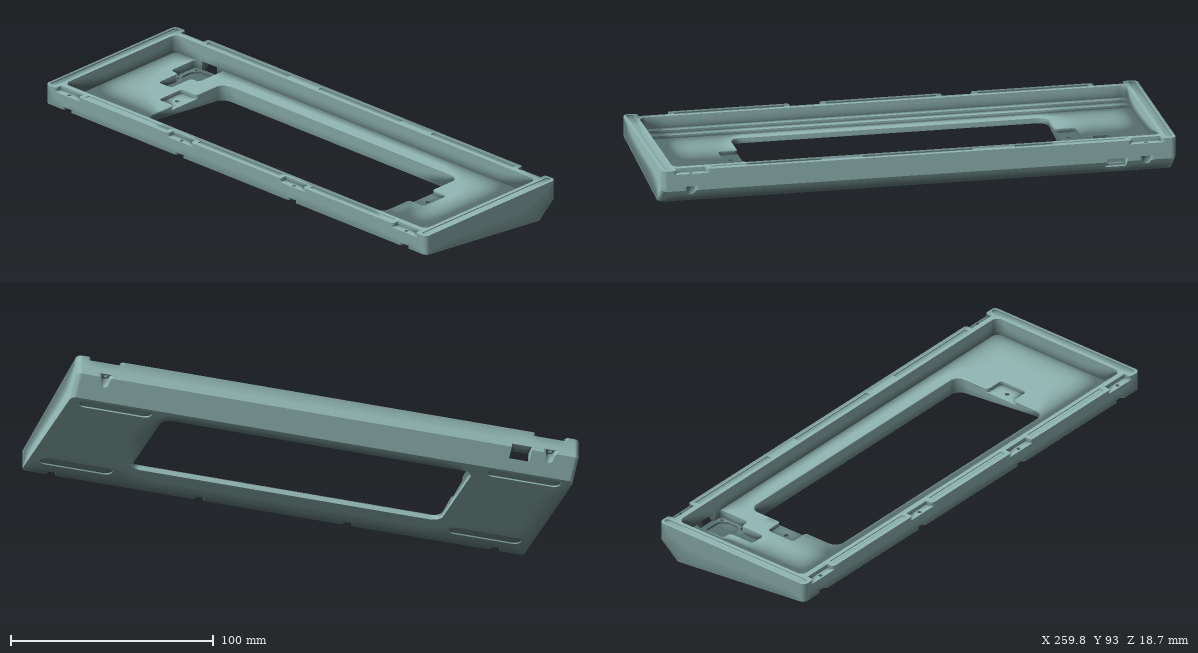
import cadquery as cq
LENGTH = 259.8
WIDTH = 93.0
HEIGHT = 18.7
FRONT_HEIGHT = 10.1
BACK_HEIGHT = 10.7
KEEL_INSET = 9.5
CORNER_RADIUS = 2.5

FRONT_Y = -WIDTH / 2
BACK_Y = WIDTH / 2
KEEL_Y = BACK_Y - KEEL_INSET
UNDERSIDE_SLOPE = (HEIGHT - FRONT_HEIGHT) / (KEEL_Y - FRONT_Y)

WALL = 6.8
CAVITY_RADIUS = 3.5
FLOOR_DEPTH = 9.4
CAVITY_STEPS = [(WALL, 6.2), (10.1, 7.8), (14.0, FLOOR_DEPTH)]
CAVITY_LENGTH = LENGTH - 2 * WALL
CAVITY_BACK_Y = BACK_Y - WALL

WINDOW_LENGTH = 160.5
WINDOW_WIDTH = 55.5
WINDOW_RADIUS = 5.2
WINDOW_CHAMFER = 0.3
WINDOW_BACK_INSET = 17.1
WINDOW_Y = BACK_Y - WINDOW_BACK_INSET - WINDOW_WIDTH / 2
TAB_REACH = 10.1
TAB_WIDTH = 16.4
TAB_DEPTH = 2.0
TAB_RADIUS = 1.8
TAB_HOLE_DIAMETER = 2.52
TAB_HOLE_DEPTH = 2.5
TAB_HOLE_REACH = 5.2
TAB_HOLE_X = WINDOW_LENGTH / 2 + TAB_HOLE_REACH

GROOVE_DEPTH = 0.5
LONG_GROOVE_LENGTH = 55.9
LONG_GROOVE_WIDTH = 2.5
LONG_GROOVE_INSET = 3.5
SIDE_GROOVE_WIDTH = 3.5
SIDE_GROOVE_INSET = 3.0
SIDE_GROOVE_LENGTH = 90.5

SCREW_PITCH = 76.7
SCREW_INSET = 1.8
SCREW_HOLE_DIAMETER = 2.15
NOTCH_LENGTH = 15.3
NOTCH_INSET = 4.0
NOTCH_DEPTH = 2.0
NOTCH_FLARE = 1.5
HEAD_SLOT_WIDTH = 4.2
HEAD_SLOT_TOP = 8.5
HEAD_SLOT_FLARE = 1.5

MODULE_X = -100.0
MODULE_LENGTH = 19.2
MODULE_WIDTH = 17.7
MODULE_DEPTH = 13.5
MODULE_RADIUS = 1.8
DISC_DIAMETER = 16.4
DISC_FLAT_LENGTH = 15.5
DISC_FLAT_WIDTH = 13.5
DISC_X = MODULE_X + 0.5
DISC_DEPTH = 14.5
PEG_HOLE_DIAMETER = 1.6
PEG_HOLE_DEPTH = DISC_DEPTH
PEG_HOLE_SPAN_X = 14.0
PEG_HOLE_SPAN_Y = 12.7
TAIL_LENGTH = 14.3
TAIL_WIDTH = 8.8
PORT_LENGTH = 10.5
PORT_TOP = 8.8
PORT_BOTTOM = 14.5
MODULE_Y = CAVITY_BACK_Y - MODULE_WIDTH / 2

FOOT_LENGTH = 37.5
FOOT_WIDTH = 6.8
FOOT_DEPTH = 0.8
FOOT_X = 105.8
FOOT_INSETS = [13.0, 78.0]


def box_down(length, width, depth, x, y, top=0.0):
    """Box whose upper face lies at Z = top."""
    return cq.Workplane("XY").box(length, width, depth, centered=(True, True, False)).translate(
        (x, y, top - depth)
    )


def rounded_down(length, width, depth, x, y, radius, top=0.0):
    return box_down(length, width, depth, x, y, top).edges("|Z").fillet(radius)


def cylinder_down(diameter, depth, x, y, top=0.0):
    return cq.Workplane("XY").circle(diameter / 2).extrude(-depth).translate((x, y, top))


def flared_mouth(width, reach, flare, edge_y, outward):
    """Outline open at a face, its two mouth corners rounded outwards."""
    half = width / 2
    bend = flare * (1 - 0.5 ** 0.5)
    lip_y = edge_y - outward * flare
    inner_y = edge_y - outward * reach
    mid_y = edge_y - outward * bend
    return (
        cq.Workplane("XY")
        .moveTo(-half - flare, edge_y)
        .threePointArc((-half - bend, mid_y), (-half, lip_y))
        .lineTo(-half, inner_y)
        .lineTo(half, inner_y)
        .lineTo(half, lip_y)
        .threePointArc((half + bend, mid_y), (half + flare, edge_y))
        .close()
    )


def make_body():
    body = (
        cq.Workplane("YZ")
        .moveTo(FRONT_Y, 0)
        .lineTo(BACK_Y, 0)
        .lineTo(BACK_Y, -BACK_HEIGHT)
        .lineTo(KEEL_Y, -HEIGHT)
        .lineTo(FRONT_Y, -FRONT_HEIGHT)
        .close()
        .extrude(LENGTH / 2, both=True)
    )
    upright = cq.selectors.ParallelDirSelector(cq.Vector(0, 0, 1))
    along_back_chamfer = cq.selectors.ParallelDirSelector(cq.Vector(0, KEEL_INSET, HEIGHT - BACK_HEIGHT))
    body = body.edges(cq.selectors.SumSelector(upright, along_back_chamfer))
    return body.fillet(CORNER_RADIUS)


def cut_cavity(body):
    for inset, depth in CAVITY_STEPS:
        width = CAVITY_BACK_Y - FRONT_Y - inset
        centre_y = CAVITY_BACK_Y - width / 2
        body = body.cut(rounded_down(CAVITY_LENGTH, width, depth, 0, centre_y, CAVITY_RADIUS))
    return body


def window_chamfer():
    """Wedge ring that breaks the window's edge at the tray floor."""
    return (
        cq.Workplane("XY")
        .sketch()
        .rect(WINDOW_LENGTH + 2 * WINDOW_CHAMFER, WINDOW_WIDTH + 2 * WINDOW_CHAMFER)
        .vertices()
        .fillet(WINDOW_RADIUS + WINDOW_CHAMFER)
        .finalize()
        .extrude(-WINDOW_CHAMFER, taper=45)
        .translate((0, WINDOW_Y, -FLOOR_DEPTH))
    )


def cut_window(body):
    opening = rounded_down(WINDOW_LENGTH, WINDOW_WIDTH, HEIGHT, 0, WINDOW_Y, WINDOW_RADIUS)
    body = body.cut(opening)
    body = body.cut(window_chamfer())
    tab = (
        flared_mouth(TAB_WIDTH, TAB_REACH, TAB_RADIUS, 0, 1)
        .extrude(-TAB_DEPTH)
        .edges("|Z and <Y")
        .fillet(TAB_RADIUS)
    )
    for side in (-1, 1):
        placed_tab = tab.rotate((0, 0, 0), (0, 0, 1), side * 90).translate(
            (side * WINDOW_LENGTH / 2, WINDOW_Y, -FLOOR_DEPTH)
        )
        hole = cylinder_down(
            TAB_HOLE_DIAMETER, TAB_HOLE_DEPTH, side * TAB_HOLE_X, WINDOW_Y, -FLOOR_DEPTH - TAB_DEPTH
        )
        body = body.cut(placed_tab).cut(hole)
    return body


def cut_rim_grooves(body):
    for side in (-1, 1):
        for column in (-1, 0, 1):
            body = body.cut(box_down(
                LONG_GROOVE_LENGTH, LONG_GROOVE_WIDTH, GROOVE_DEPTH,
                column * SCREW_PITCH, side * (BACK_Y - LONG_GROOVE_INSET),
            ))
        side_groove = (
            cq.Workplane("XY")
            .slot2D(SIDE_GROOVE_LENGTH, SIDE_GROOVE_WIDTH, 90)
            .extrude(-GROOVE_DEPTH)
            .translate((side * (LENGTH / 2 - SIDE_GROOVE_INSET), 0, 0))
        )
        body = body.cut(side_groove)
    return body


def screw_cut(outward):
    """Rim notch, through hole and screw head slot of one wall, at X = 0."""
    edge_y = outward * WIDTH / 2
    hole_y = edge_y - outward * SCREW_INSET
    notch = flared_mouth(NOTCH_LENGTH, NOTCH_INSET, NOTCH_FLARE, edge_y, outward).extrude(-NOTCH_DEPTH)
    hole = cylinder_down(SCREW_HOLE_DIAMETER, HEIGHT, 0, hole_y)
    slot_height = HEIGHT - HEAD_SLOT_TOP
    head_slot = (
        flared_mouth(HEAD_SLOT_WIDTH, SCREW_INSET, HEAD_SLOT_FLARE, edge_y, outward)
        .extrude(-slot_height)
        .translate((0, 0, -HEAD_SLOT_TOP))
        .union(cylinder_down(HEAD_SLOT_WIDTH, slot_height, 0, hole_y, -HEAD_SLOT_TOP))
    )
    return notch.union(hole).union(head_slot)


def cut_screws(body):
    columns_by_wall = {-1: (-1.5, -0.5, 0.5, 1.5), 1: (-1.5, 1.5)}
    for outward, columns in columns_by_wall.items():
        cutter = screw_cut(outward)
        for column in columns:
            body = body.cut(cutter.translate((column * SCREW_PITCH, 0, 0)))
    return body


def cut_module_pocket(body):
    tail_top = MODULE_Y - MODULE_WIDTH / 2
    seat = box_down(MODULE_LENGTH, MODULE_WIDTH, MODULE_DEPTH, MODULE_X, MODULE_Y)
    tail = box_down(TAIL_WIDTH, TAIL_LENGTH, MODULE_DEPTH, MODULE_X, tail_top - TAIL_LENGTH / 2)
    pocket = seat.union(tail).edges("|Z").fillet(MODULE_RADIUS)
    disc = cylinder_down(DISC_DIAMETER, DISC_DEPTH, DISC_X, MODULE_Y).intersect(
        box_down(DISC_FLAT_LENGTH, DISC_FLAT_WIDTH, DISC_DEPTH, DISC_X, MODULE_Y)
    )
    body = body.cut(pocket).cut(disc)
    for side_x in (-1, 1):
        for side_y in (-1, 1):
            hole_x = DISC_X + side_x * PEG_HOLE_SPAN_X / 2
            hole_y = MODULE_Y + side_y * PEG_HOLE_SPAN_Y / 2
            body = body.cut(cylinder_down(PEG_HOLE_DIAMETER, PEG_HOLE_DEPTH, hole_x, hole_y))
    port = box_down(
        PORT_LENGTH, WALL, PORT_BOTTOM - PORT_TOP, MODULE_X, BACK_Y - WALL / 2, -PORT_TOP
    )
    return body.cut(port)


def cut_foot_recesses(body):
    for inset in FOOT_INSETS:
        for side in (-1, 1):
            depth_here = FRONT_HEIGHT + inset * UNDERSIDE_SLOPE
            plane = cq.Plane(
                origin=(side * FOOT_X, FRONT_Y + inset, -depth_here),
                xDir=(1, 0, 0),
                normal=(0, UNDERSIDE_SLOPE, 1),
            )
            body = body.cut(cq.Workplane(plane).slot2D(FOOT_LENGTH, FOOT_WIDTH).extrude(FOOT_DEPTH))
    return body


result = make_body()
result = cut_cavity(result)
result = cut_window(result)
result = cut_rim_grooves(result)
result = cut_screws(result)
result = cut_module_pocket(result)
result = cut_foot_recesses(result)